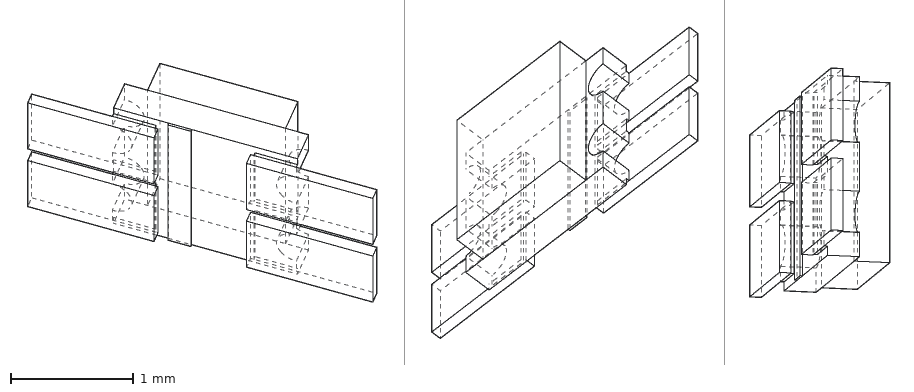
import cadquery as cq

overall_length = 3.0
package_height = 1.5

base_length = 1.6
base_thickness = 0.27

cover_length = 1.2
cover_thickness = 0.3

pad_length = 0.37
pad_thickness = 0.03
notch_radius = 0.17

lead_length = 1.098
lead_height = 0.6
lead_thickness = 0.1
lead_pitch = 0.75

stripe_left = -0.32
stripe_width = 0.2
stripe_thickness = 0.02

SIDES = (-1, 1)
lead_places = [(side, row * lead_pitch / 2) for side in SIDES for row in SIDES]


def block(length, thickness, height, x_center, y_front, z_center=0):
    """Box centred in X and Z that extends back (+Y) from y_front."""
    box = cq.Workplane("XY").box(length, thickness, height, centered=(True, False, True))
    return box.translate((x_center, y_front, z_center))


def make_notch_cutter(side, z_center):
    """Cylinder along Y, centred on an end face, through the pad and the base."""
    depth = base_thickness + pad_thickness
    cylinder = cq.Workplane("XZ").circle(notch_radius).extrude(-depth)
    return cylinder.translate((side * base_length / 2, -pad_thickness, z_center))


def make_base():
    """Base plate with four raised pads, notched at each pad."""
    base = block(base_length, base_thickness, package_height, 0, 0)
    pad_x = (base_length - pad_length) / 2
    for side, z_center in lead_places:
        pad = block(pad_length, pad_thickness, lead_height, side * pad_x, -pad_thickness, z_center)
        base = base.union(pad)
    for side, z_center in lead_places:
        base = base.cut(make_notch_cutter(side, z_center))
    return base


def make_cover():
    """Plain block on the back of the base."""
    return block(cover_length, cover_thickness, package_height, 0, base_thickness)


def make_stripe():
    """Thin strip across the full height of the base front."""
    stripe_x = stripe_left + stripe_width / 2
    return block(stripe_width, stripe_thickness, package_height, stripe_x, -stripe_thickness)


def make_lead(side, z_center):
    """Flat lead resting on the front of one pad and reaching past the end of the base."""
    lead_x = side * (overall_length - lead_length) / 2
    lead_front = -pad_thickness - lead_thickness
    return block(lead_length, lead_thickness, lead_height, lead_x, lead_front, z_center)


base = make_base()
cover = make_cover()
stripe = make_stripe()
leads = [make_lead(side, z_center).val() for side, z_center in lead_places]

result = cq.Compound.makeCompound([base.val(), cover.val(), stripe.val(), *leads])